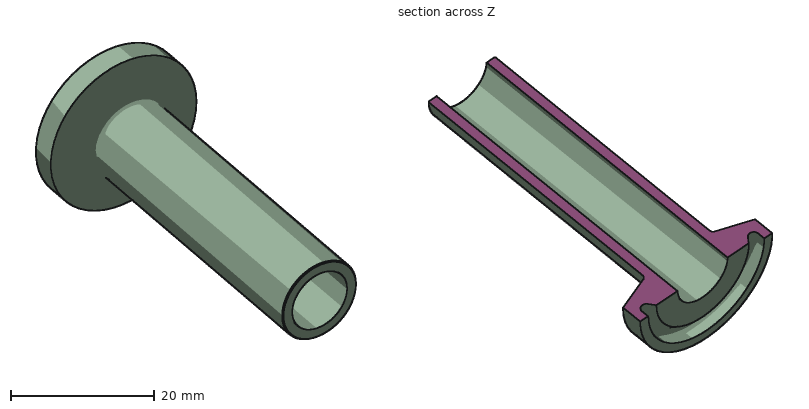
import cadquery as cq
import math

length = 50.8
flange_radius = 25.0 / 2
tube_radius = 12.7 / 2
bore_radius = 9.4 / 2

rim_thickness = 3.6
back_angle = math.radians(20.0)
blend_radius = 0.65
tube_end_chamfer = 0.15

groove_outer_radius = 21.9 / 2
groove_cone_radius = 19.0 / 2
boss_radius = 17.5 / 2
boss_recess = 0.75
groove_angle = math.radians(37.0)


def turned(sketch):
    """Revolve an (X, radius) outline about the X axis."""
    return sketch.close().revolve(360, (0, 0, 0), (1, 0, 0))


def make_body():
    """Flange, back cone, blend and tube as one solid of revolution."""
    blend_center_radius = tube_radius + blend_radius
    cone_end_radius = blend_center_radius - blend_radius * math.sin(back_angle)
    cone_end_x = rim_thickness + (flange_radius - cone_end_radius) * math.tan(back_angle)
    blend_end_x = cone_end_x + blend_radius * math.cos(back_angle)
    mid_angle = (math.pi / 2 + back_angle) / 2
    blend_mid = (
        blend_end_x - blend_radius * math.cos(mid_angle),
        blend_center_radius - blend_radius * math.sin(mid_angle),
    )
    outline = (
        cq.Workplane("XY")
        .moveTo(0, bore_radius)
        .lineTo(0, flange_radius)
        .lineTo(rim_thickness, flange_radius)
        .lineTo(cone_end_x, cone_end_radius)
        .threePointArc(blend_mid, (blend_end_x, tube_radius))
        .lineTo(length - tube_end_chamfer, tube_radius)
        .lineTo(length, tube_radius - tube_end_chamfer)
        .lineTo(length, bore_radius)
    )
    return turned(outline)


def make_face_recess():
    """Shallow recess over the boss and the deeper groove around it.

    The groove has a straight outer wall, a round bottom and a conical inner wall.
    """
    arc_radius = (groove_outer_radius - groove_cone_radius) / (1 + math.cos(groove_angle))
    arc_center_radius = groove_outer_radius - arc_radius
    cone_depth = boss_recess + (groove_cone_radius - boss_radius) / math.tan(groove_angle)
    wall_depth = cone_depth - arc_radius * math.sin(groove_angle)
    outline = (
        cq.Workplane("XY")
        .moveTo(0, 0)
        .lineTo(boss_recess, 0)
        .lineTo(boss_recess, boss_radius)
        .lineTo(cone_depth, groove_cone_radius)
        .threePointArc(
            (wall_depth + arc_radius, arc_center_radius),
            (wall_depth, groove_outer_radius),
        )
        .lineTo(0, groove_outer_radius)
    )
    return turned(outline)


result = make_body().cut(make_face_recess())